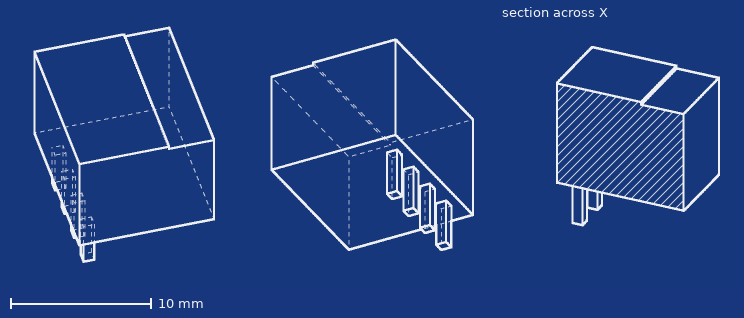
import cadquery as cq

housing_width = 11.96
housing_depth = 10.0
housing_height = 8.1

step_depth = 3.34
step_drop = 0.22

pin_count = 4
pin_pitch = 2.54
pin_side = 0.8
pin_length = 3.5
pin_row_inset = 1.22


def make_housing():
    """Block standing on Z = 0, front face on Y = 0, with its rear top edge stepped down."""
    rear_height = housing_height - step_drop
    step_front = housing_depth - step_depth
    profile = [
        (0, 0),
        (housing_depth, 0),
        (housing_depth, rear_height),
        (step_front, rear_height),
        (step_front, housing_height),
        (0, housing_height),
    ]
    return cq.Workplane("YZ").polyline(profile).close().extrude(housing_width / 2, both=True)


def make_pins():
    """Square pins hanging from the underside, in one row centred along X."""
    return (
        cq.Workplane("XY")
        .center(0, pin_row_inset)
        .rarray(pin_pitch, 0.12, pin_count, 1)
        .rect(pin_side, pin_side)
        .extrude(-pin_length)
    )


result = make_housing().union(make_pins())